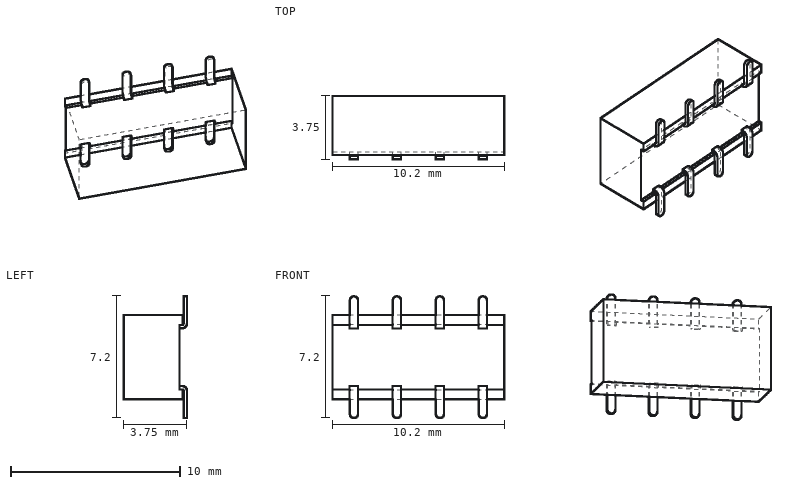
import cadquery as cq

body_length = 10.16
body_depth = 3.51
body_height = 5.0
rail_height = 0.59
recess_depth = 0.2

lead_count = 4
lead_pitch = 2.54
lead_width = 0.5
lead_thickness = 0.21
lead_span = 7.2
overall_depth = 3.75
bend_outer_radius = 0.3
bend_inner_radius = bend_outer_radius - lead_thickness

lead_front = -overall_depth / 2
lead_back = lead_front + lead_thickness
body_back = overall_depth / 2
body_front = body_back - body_depth
recess_floor = body_front + recess_depth
recess_half_height = body_height / 2 - rail_height
foot_inner_z = recess_half_height - lead_thickness
lead_tip_z = lead_span / 2


def make_body():
    """Block with a recess running the full length of its front face."""
    block = cq.Workplane("XY").box(body_length, body_depth, body_height)
    block = block.translate((0, body_back - body_depth / 2, 0))
    recess = cq.Workplane("XY").box(body_length, recess_depth, 2 * recess_half_height)
    return block.cut(recess.translate((0, body_front + recess_depth / 2, 0)))


def make_upper_lead():
    """Bent strip centred on X = 0 with a full-round tip pointing to +Z."""
    strip = (
        cq.Workplane("YZ")
        .moveTo(recess_floor, foot_inner_z)
        .lineTo(lead_front + bend_outer_radius, foot_inner_z)
        .radiusArc((lead_front, foot_inner_z + bend_outer_radius), bend_outer_radius)
        .lineTo(lead_front, lead_tip_z)
        .lineTo(lead_back, lead_tip_z)
        .lineTo(lead_back, recess_half_height + bend_inner_radius)
        .radiusArc((lead_back + bend_inner_radius, recess_half_height), -bend_inner_radius)
        .lineTo(recess_floor, recess_half_height)
        .close()
        .extrude(lead_width / 2, both=True)
    )
    tip_radius = lead_width / 2
    tip_start_z = lead_tip_z - tip_radius
    face_outline = (
        cq.Workplane("XZ", origin=(0, recess_floor, 0))
        .moveTo(-tip_radius, foot_inner_z)
        .lineTo(-tip_radius, tip_start_z)
        .threePointArc((0, lead_tip_z), (tip_radius, tip_start_z))
        .lineTo(tip_radius, foot_inner_z)
        .close()
        .extrude(recess_floor - lead_front)
    )
    return strip.intersect(face_outline)


upper_lead = make_upper_lead()
lower_lead = upper_lead.mirror("XY")

result = make_body()
for index in range(lead_count):
    lead_x = (index - (lead_count - 1) / 2) * lead_pitch
    for lead in (upper_lead, lower_lead):
        result = result.union(lead.translate((lead_x, 0, 0)))